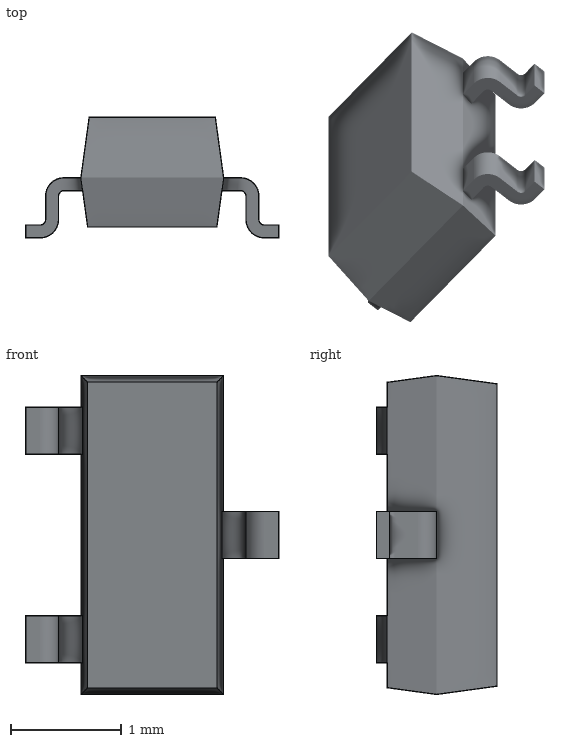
import cadquery as cq
import math

HOUSING_WIDTH = 1.3
HOUSING_LENGTH = 2.9
FOOT_SIDE_DEPTH = 0.45
BACK_SIDE_DEPTH = 0.55
DRAFT_ANGLE = 7.8

LEAD_SPAN = 2.3
LEAD_THICKNESS = 0.12
LEAD_WIDTH = 0.43
LEAD_OFFSET = 0.948
FOOT_TO_SHANK = 0.18
STANDOFF = 0.1
INNER_BEND = 0.05
OUTER_BEND = INNER_BEND + LEAD_THICKNESS

LEAD_PLACES = [(-1, LEAD_OFFSET), (-1, -LEAD_OFFSET), (1, 0)]


def make_housing():
    foot_half = (
        cq.Workplane("XZ")
        .rect(HOUSING_WIDTH, HOUSING_LENGTH)
        .extrude(FOOT_SIDE_DEPTH, taper=DRAFT_ANGLE)
    )
    back_half = (
        cq.Workplane("ZX")
        .rect(HOUSING_LENGTH, HOUSING_WIDTH)
        .extrude(BACK_SIDE_DEPTH, taper=DRAFT_ANGLE)
    )
    return foot_half.union(back_half)


def make_lead(side, z_center):
    """S-bent strip whose inner end lies flush on the drafted housing side."""
    tip = LEAD_SPAN / 2
    shank_outer = tip - FOOT_TO_SHANK
    shank_inner = shank_outer - LEAD_THICKNESS
    sole = -(FOOT_SIDE_DEPTH + STANDOFF)
    foot_top = sole + LEAD_THICKNESS
    arm_bottom = -LEAD_THICKNESS
    root_top = HOUSING_WIDTH / 2
    root_bottom = root_top - LEAD_THICKNESS * math.tan(math.radians(DRAFT_ANGLE))
    foot_bend_x = shank_outer + INNER_BEND
    arm_bend_x = shank_inner - INNER_BEND

    profile = (
        cq.Workplane("XY")
        .moveTo(side * root_top, 0)
        .lineTo(side * arm_bend_x, 0)
        .tangentArcPoint((side * shank_outer, -OUTER_BEND), relative=False)
        .lineTo(side * shank_outer, foot_top + INNER_BEND)
        .tangentArcPoint((side * foot_bend_x, foot_top), relative=False)
        .lineTo(side * tip, foot_top)
        .lineTo(side * tip, sole)
        .lineTo(side * foot_bend_x, sole)
        .tangentArcPoint((side * shank_inner, sole + OUTER_BEND), relative=False)
        .lineTo(side * shank_inner, arm_bottom - INNER_BEND)
        .tangentArcPoint((side * arm_bend_x, arm_bottom), relative=False)
        .lineTo(side * root_bottom, arm_bottom)
        .close()
    )
    return profile.extrude(LEAD_WIDTH / 2, both=True).translate((0, 0, z_center))


housing = make_housing()
leads = [make_lead(side, z_center) for side, z_center in LEAD_PLACES]

result = cq.Compound.makeCompound([housing.solids().val(), *[lead.solids().val() for lead in leads]])